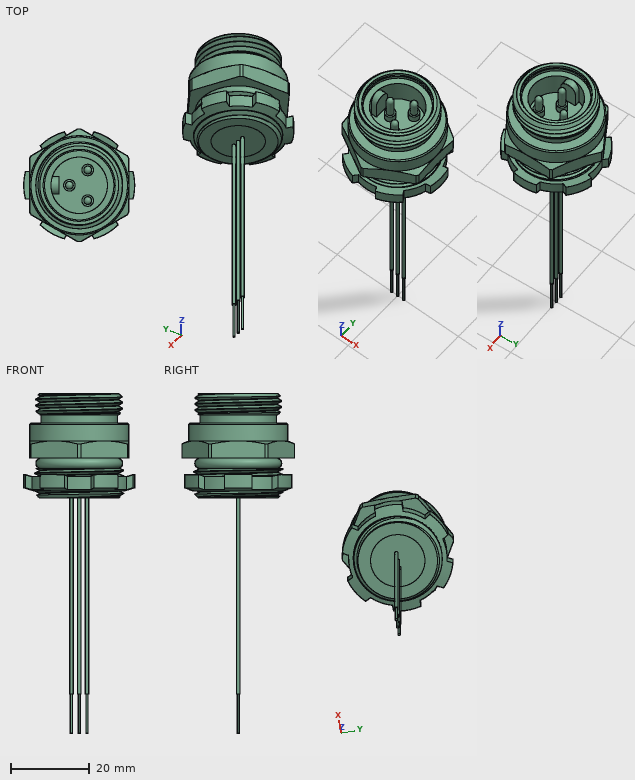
import cadquery as cq
import math


top_z = 86.8
plug_thread_bottom_z = 81.25
collar_top_z = 79.2
hex_top_z = 74.65
hex_bottom_z = 70.2
housing_bottom_z = 60.1
insert_face_z = 85.15
wire_strip_z = 10.0

collar_radius = 12.7
collar_chamfer = 0.35
hex_sides = 6
hex_corner_radius = 14.4
hex_chamfer_height = 0.8
neck_radius = 9.8

plug_root_radius = 10.1
plug_crest_radius = 11.1
plug_pitch = 1.6
plug_crest_z = 86.0
panel_root_radius = 10.15
panel_crest_radius = 11.4
panel_pitch = 1.5
panel_crest_z = 67.1
root_flat = 0.2
crest_flat = 0.2
ridge_embed = 0.1
thread_overrun = 0.2

mouth_radius = 9.2
mouth_depth = 0.8

seal_tube_radius = 1.3
seal_outer_radius = 11.1
seal_center_radius = seal_outer_radius - seal_tube_radius
seal_z = hex_bottom_z - seal_tube_radius
seal_seat_radius = seal_center_radius - seal_tube_radius
panel_thread_top_z = seal_z - seal_tube_radius

nut_rim_radius = 12.6
lug_span = 28.4
lug_radius = lug_span / 2
lug_width = 7.1
lug_count = 6
nut_edge_top_z = 66.05
nut_edge_bottom_z = 62.7
nut_face_slope = 0.3

insert_radius = 8.85
insert_stem_radius = 6.95
insert_shoulder_z = 74.65
socket_radius = 7.2
socket_depth = 6.95
socket_floor_z = insert_face_z - socket_depth

key_width = 4.5
key_inner_x = -5.2

pin_diameter = 2.0
pin_radius = pin_diameter / 2
pin_base_radius = 1.5
pin_base_height = 2.1
earth_pin_position = (-2.5, 0)
line_pin_x = 2.2
line_pin_y = 3.9
line_pin_tip_z = insert_face_z - 0.2
earth_pin_tip_z = line_pin_tip_z + 1.4

wire_spacing = 2.0
jacket_radius = 0.48
conductor_radius = 0.3


def cylinder(radius, bottom, top, center=(0, 0)):
    """Upright cylinder between two levels."""
    return cq.Workplane("XY", origin=(*center, bottom)).circle(radius).extrude(top - bottom)


def revolved(points):
    """Solid of revolution about Z from (radius, level) points."""
    return cq.Workplane("XZ").polyline(points).close().revolve(360, (0, 0, 0), (0, 1, 0))


def thread_ridge(root_radius, crest_radius, pitch, crest_z, bottom, top):
    """Right-handed helical ridge with a crest at crest_z on the +X side, covering bottom to top."""
    turns_below = math.ceil((crest_z - bottom) / pitch) + 1
    start_z = crest_z - turns_below * pitch
    height = (math.ceil((top - start_z) / pitch) + 1) * pitch
    inner_radius = root_radius - ridge_embed
    half_root = (pitch - root_flat) / 2
    half_crest = crest_flat / 2
    flank_slope = (half_root - half_crest) / (crest_radius - root_radius)
    half_base = half_root + flank_slope * ridge_embed
    path = cq.Workplane(cq.Wire.makeHelix(pitch, height, root_radius)).translate((0, 0, start_z))
    section = (
        cq.Workplane("XZ")
        .polyline([
            (inner_radius, start_z - half_base),
            (crest_radius, start_z - half_crest),
            (crest_radius, start_z + half_crest),
            (inner_radius, start_z + half_base),
        ])
        .close()
    )
    return section.sweep(path, isFrenet=True)


def plug_thread():
    """Upper thread, chamfered at both ends."""
    depth = plug_crest_radius - plug_root_radius
    envelope = revolved([
        (0, plug_thread_bottom_z),
        (plug_root_radius, plug_thread_bottom_z),
        (plug_crest_radius + thread_overrun, plug_thread_bottom_z + depth + thread_overrun),
        (plug_crest_radius + thread_overrun, top_z - depth - thread_overrun),
        (plug_root_radius, top_z),
        (0, top_z),
    ])
    ridge = thread_ridge(plug_root_radius, plug_crest_radius, plug_pitch, plug_crest_z,
                         plug_thread_bottom_z, top_z)
    return cylinder(plug_root_radius, plug_thread_bottom_z, top_z).union(ridge.intersect(envelope))


def panel_thread():
    """Lower thread that carries the lock nut, chamfered at its bottom end."""
    depth = panel_crest_radius - panel_root_radius
    envelope = revolved([
        (0, housing_bottom_z),
        (panel_root_radius, housing_bottom_z),
        (panel_crest_radius + thread_overrun, housing_bottom_z + depth + thread_overrun),
        (panel_crest_radius + thread_overrun, panel_thread_top_z),
        (0, panel_thread_top_z),
    ])
    ridge = thread_ridge(panel_root_radius, panel_crest_radius, panel_pitch, panel_crest_z,
                         housing_bottom_z, panel_thread_top_z)
    core = cylinder(panel_root_radius, housing_bottom_z, panel_thread_top_z)
    return core.union(ridge.intersect(envelope))


def hex_flange():
    """Hexagon with trimmed corners and a coned top face; flats face +X and -X."""
    corner_diameter = 2 * collar_radius / math.cos(math.pi / hex_sides)
    prism = (
        cq.Workplane("XY", origin=(0, 0, hex_bottom_z))
        .transformed(rotate=(0, 0, 180 / hex_sides))
        .polygon(hex_sides, corner_diameter)
        .extrude(hex_top_z - hex_bottom_z)
    )
    envelope = revolved([
        (0, hex_bottom_z),
        (hex_corner_radius, hex_bottom_z),
        (hex_corner_radius, hex_top_z - hex_chamfer_height),
        (collar_radius, hex_top_z),
        (0, hex_top_z),
    ])
    return prism.intersect(envelope)


def insert_envelope():
    """Outer shape of the insert, which is also the stepped bore of the housing."""
    head = cylinder(insert_radius, insert_shoulder_z, insert_face_z)
    stem = cylinder(insert_stem_radius, housing_bottom_z, insert_shoulder_z)
    return head.union(stem)


def make_housing():
    collar = cylinder(collar_radius, hex_top_z, collar_top_z).faces(">Z").edges().chamfer(collar_chamfer)
    neck = cylinder(neck_radius, collar_top_z, plug_thread_bottom_z)
    seal_seat = cylinder(seal_seat_radius, panel_thread_top_z, hex_bottom_z)
    mouth = cylinder(mouth_radius, top_z - mouth_depth, top_z)
    throat = cylinder(insert_radius, insert_face_z, top_z)
    body = hex_flange().union(collar).union(neck).union(seal_seat)
    body = body.union(plug_thread()).union(panel_thread())
    return body.cut(insert_envelope()).cut(throat).cut(mouth)


def make_seal():
    section = cq.Workplane("XZ").center(seal_center_radius, seal_z).circle(seal_tube_radius)
    return section.revolve(360, (-seal_center_radius, 0, 0), (-seal_center_radius, 1, 0))


def make_lock_nut():
    """Dished nut with six parallel-sided lugs, bored to the crest of the panel thread."""
    axis_drop = nut_face_slope * lug_radius
    envelope = revolved([
        (0, nut_edge_bottom_z - axis_drop),
        (lug_radius, nut_edge_bottom_z),
        (lug_radius, nut_edge_top_z),
        (0, nut_edge_top_z - axis_drop),
    ])
    bottom = nut_edge_bottom_z - axis_drop
    height = nut_edge_top_z - bottom
    blank = cylinder(nut_rim_radius, bottom, nut_edge_top_z)
    for index in range(lug_count // 2):
        bar = (
            cq.Workplane("XY", origin=(0, 0, bottom))
            .transformed(rotate=(0, 0, index * 360 / lug_count))
            .rect(2 * lug_radius, lug_width)
            .extrude(height)
        )
        blank = blank.union(bar)
    return blank.intersect(envelope).cut(cylinder(panel_crest_radius, bottom, nut_edge_top_z))


def coding_key():
    """Round-topped key on the socket wall, level with the insert's face."""
    length = socket_radius + key_inner_x
    round_z = insert_face_z - key_width / 2
    post_height = round_z - socket_floor_z
    post = (
        cq.Workplane("XY", origin=(key_inner_x - length / 2, 0, socket_floor_z))
        .rect(length, key_width)
        .extrude(post_height)
    )
    crown = cq.Workplane("YZ", origin=(-socket_radius, 0, round_z)).circle(key_width / 2).extrude(length)
    return post.union(crown)


def contact_pin(position, tip_z):
    """Round-nosed pin standing in a wider base on the socket floor."""
    base = cylinder(pin_base_radius, socket_floor_z, socket_floor_z + pin_base_height, position)
    shank = cylinder(pin_radius, socket_floor_z, tip_z - pin_radius, position)
    nose = cq.Workplane("XY", origin=(*position, tip_z - pin_radius)).sphere(pin_radius)
    return base.union(shank).union(nose)


def wire(x):
    """Jacketed wire with a stripped end."""
    jacket = cylinder(jacket_radius, wire_strip_z, housing_bottom_z, (x, 0))
    conductor = cylinder(conductor_radius, 0, wire_strip_z, (x, 0))
    return jacket.union(conductor)


def make_contact_insert():
    socket = cylinder(socket_radius, socket_floor_z, insert_face_z)
    insert = insert_envelope().cut(socket).union(coding_key())
    insert = insert.union(contact_pin(earth_pin_position, earth_pin_tip_z))
    for side in (-1, 1):
        insert = insert.union(contact_pin((line_pin_x, side * line_pin_y), line_pin_tip_z))
    for step in (-1, 0, 1):
        insert = insert.union(wire(step * wire_spacing))
    return insert


housing = make_housing()
seal = make_seal()
lock_nut = make_lock_nut()
contact_insert = make_contact_insert()

result = cq.Compound.makeCompound([
    housing.solids().val(),
    seal.solids().val(),
    lock_nut.solids().val(),
    contact_insert.solids().val(),
])